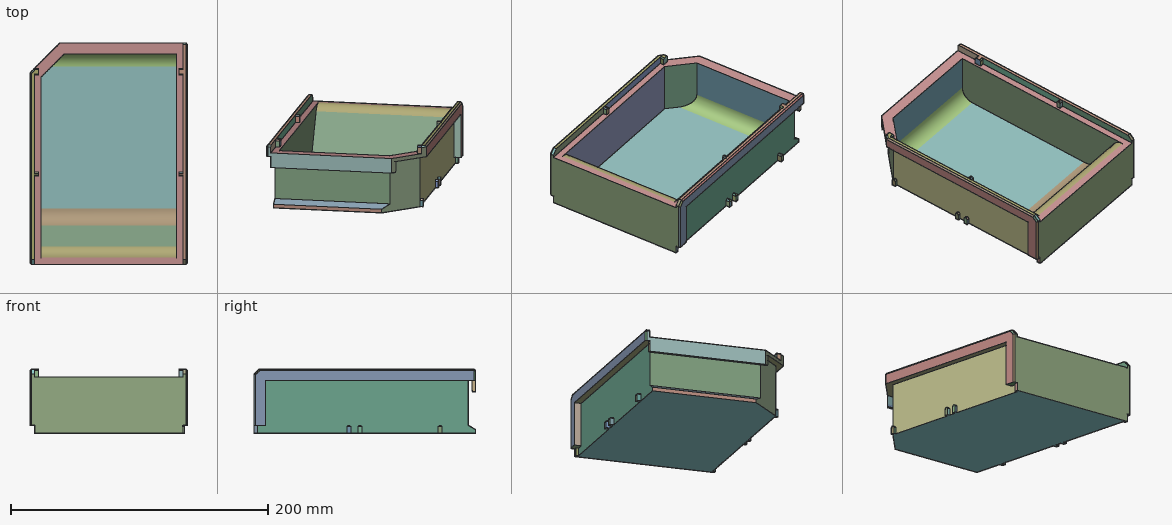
import cadquery as cq
import math

WIDTH = 122.5
LENGTH = 172.5
HEIGHT = 50.0

WALL = 3.0
RIM_TOP = 44.0
RIM_BOTTOM = RIM_TOP - WALL
CAVITY_INSET = 8.65
BODY_INSET = CAVITY_INSET - WALL
CORNER_CUT = 23.3
CAVITY_CORNER_CUT = 35.3
BODY_CORNER_CUT = CAVITY_CORNER_CUT - WALL * math.sqrt(2)

CAVITY_FRONT = 5.2
CAVITY_BACK = LENGTH - CAVITY_INSET
BACK_RADIUS = 10.0
LIP_RADIUS = 10.0
SLOPE_RADIUS = 15.0
SLOPE_ANGLE = math.radians(60)

FLANGE = 3.5
FLANGE_BEVEL = 1.2
FLANGE_FRONT_CUT = 4.0
FLANGE_LEG = 9.2
SKIRT_BOTTOM = 6.25

LIP_BOTTOM = 32.3
LIP_TIP_RELIEF = 0.5
LIP_TIP_HEIGHT = 1.6
FOOT_EDGE = 3.0

STOP_REACH = 3.25
STOP_BEVEL = 1.0
STOPS = ((147.4, 5.3), (68.8, 3.1))

LUG_WIDTH = 3.1
LUG_BEVEL = 1.1
LUG_FRONTS = (143.4, 80.9, 72.3)
LEFT_LUG_INSET = FLANGE
RIGHT_LUG_INSET = 2.3


def block(x0, x1, y0, y1, z0, z1):
    """Box between two opposite corners."""
    return cq.Workplane("XY").box(x1 - x0, y1 - y0, z1 - z0, centered=False).translate((x0, y0, z0))


def side_profile(x0, x1, points):
    """Solid between two X positions from a polygon of (Y, Z) points."""
    return cq.Workplane("YZ").workplane(offset=x0).polyline(points).close().extrude(x1 - x0)


def corner_wedge(cut):
    """Full-height wedge that trims the back left corner at 45 degrees."""
    corner = [(0, LENGTH), (cut, LENGTH), (0, LENGTH - cut)]
    return cq.Workplane("XY").polyline(corner).close().extrude(HEIGHT)


def mirrored(solid):
    """Copy reflected to the opposite side of the tray."""
    return solid.mirror("YZ", (WIDTH / 2, 0, 0))


def make_body():
    """Solid block of the tray with a sloped foot along its back."""
    back = LENGTH - BODY_INSET
    outline = [
        (0, 0),
        (LENGTH, 0),
        (LENGTH, FOOT_EDGE),
        (back, SKIRT_BOTTOM),
        (back, RIM_TOP),
        (0, RIM_TOP),
    ]
    return side_profile(BODY_INSET, WIDTH - BODY_INSET, outline).cut(corner_wedge(BODY_CORNER_CUT))


def make_front_plate():
    """Front wall, wider than the body."""
    return block(FLANGE, WIDTH - FLANGE, 0, WALL, 0, RIM_TOP)


def make_rim():
    """Rim plate with a downward lip along the back, relieved inside its tip."""
    lip_inner = LENGTH - WALL
    outline = [
        (0, RIM_BOTTOM),
        (lip_inner, RIM_BOTTOM),
        (lip_inner, LIP_BOTTOM + LIP_TIP_HEIGHT),
        (lip_inner + LIP_TIP_RELIEF, LIP_BOTTOM),
        (LENGTH, LIP_BOTTOM),
        (LENGTH, RIM_TOP),
        (0, RIM_TOP),
    ]
    return side_profile(FLANGE, WIDTH - FLANGE, outline).cut(corner_wedge(CORNER_CUT))


def make_flange():
    """Left flange: a strip along the rim with a leg down the front corner."""
    outline = [
        (0, SKIRT_BOTTOM),
        (FLANGE_LEG, SKIRT_BOTTOM),
        (FLANGE_LEG, RIM_BOTTOM),
        (LENGTH, RIM_BOTTOM),
        (LENGTH, HEIGHT - FLANGE_BEVEL),
        (LENGTH - FLANGE_BEVEL, HEIGHT),
        (FLANGE_FRONT_CUT, HEIGHT),
        (0, HEIGHT - FLANGE_FRONT_CUT),
    ]
    strip = side_profile(0, FLANGE, outline)
    outer_edges = strip.faces("<X").edges(">Z or <Y or >Y or (not (|Y or |Z))")
    strip = outer_edges.chamfer(FLANGE_BEVEL)
    leg_web = block(FLANGE, BODY_INSET, 0, FLANGE_LEG, SKIRT_BOTTOM, RIM_TOP)
    return strip.union(leg_web)


def make_left_flange():
    """Left flange trimmed by the cut corner, with its new end bevelled on top."""
    trimmed = make_flange().cut(corner_wedge(CORNER_CUT))
    return trimmed.faces("<(1,-1,0)").edges(">Z").chamfer(FLANGE_BEVEL)


def make_stops():
    """Bevelled stops standing on the rim against the left flange."""
    stops = cq.Workplane("XY")
    for front, length in STOPS:
        stop = block(FLANGE, FLANGE + STOP_REACH, front, front + length, RIM_BOTTOM, HEIGHT)
        stops = stops.union(stop.edges("|X and >Z").chamfer(STOP_BEVEL))
    return stops


def make_lugs(inset, bevelled_edges):
    """Bevelled lugs on the left wall, ending at the given inset from the side."""
    lugs = cq.Workplane("XY")
    for front in LUG_FRONTS:
        lug = block(inset, CAVITY_INSET, front, front + LUG_WIDTH, 0, SKIRT_BOTTOM)
        lugs = lugs.union(lug.edges(bevelled_edges).chamfer(LUG_BEVEL))
    return lugs


def make_cavity():
    """Hollow of the tray: rounded back, flat floor and a front slope eased into the rim."""
    sin_a = math.sin(SLOPE_ANGLE)
    cos_a = math.cos(SLOPE_ANGLE)
    sin_half = math.sin(SLOPE_ANGLE / 2)
    cos_half = math.cos(SLOPE_ANGLE / 2)
    slope_top = (CAVITY_FRONT + LIP_RADIUS * sin_a, RIM_TOP - LIP_RADIUS * (1 - cos_a))
    lip_middle = (CAVITY_FRONT + LIP_RADIUS * sin_half, RIM_TOP - LIP_RADIUS * (1 - cos_half))
    slope_bottom_z = WALL + SLOPE_RADIUS * (1 - cos_a)
    slope_bottom_y = slope_top[0] + (slope_top[1] - slope_bottom_z) / math.tan(SLOPE_ANGLE)
    floor_front = slope_bottom_y + SLOPE_RADIUS * sin_a
    bend_middle = (floor_front - SLOPE_RADIUS * sin_half, WALL + SLOPE_RADIUS * (1 - cos_half))
    back_middle_y = CAVITY_BACK - BACK_RADIUS * (1 - math.sin(math.pi / 4))
    back_middle_z = WALL + BACK_RADIUS * (1 - math.cos(math.pi / 4))

    cavity = (
        cq.Workplane("YZ")
        .workplane(offset=CAVITY_INSET)
        .moveTo(CAVITY_FRONT, RIM_TOP)
        .threePointArc(lip_middle, slope_top)
        .lineTo(slope_bottom_y, slope_bottom_z)
        .threePointArc(bend_middle, (floor_front, WALL))
        .lineTo(CAVITY_BACK - BACK_RADIUS, WALL)
        .threePointArc((back_middle_y, back_middle_z), (CAVITY_BACK, WALL + BACK_RADIUS))
        .lineTo(CAVITY_BACK, RIM_TOP)
        .close()
        .extrude(WIDTH - 2 * CAVITY_INSET)
    )
    return cavity.cut(corner_wedge(CAVITY_CORNER_CUT))


tray = make_body().union(make_front_plate()).union(make_rim()).cut(make_cavity())
flanges = make_left_flange().union(mirrored(make_flange()))
stops = make_stops().union(mirrored(make_stops()))
left_lugs = make_lugs(LEFT_LUG_INSET, "|X and >Z")
right_lugs = mirrored(make_lugs(RIGHT_LUG_INSET, "(|X and >Z) or (<X and >Z)"))

tray = tray.union(flanges).union(stops).union(left_lugs).union(right_lugs)
result = tray.translate((-WIDTH / 2, 0, 0))